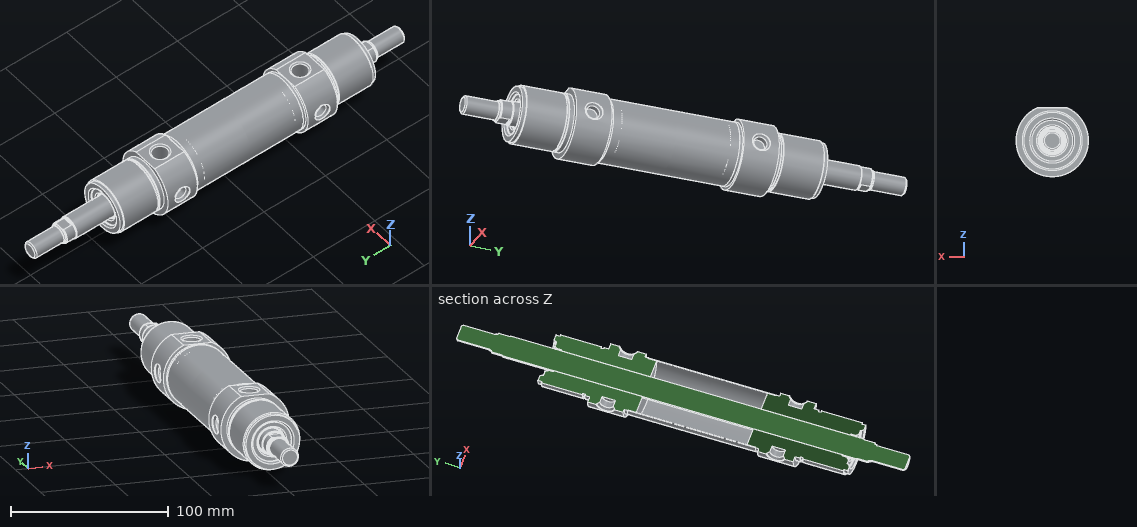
import cadquery as cq
import math

overall_length = 301.0
rod_end = overall_length / 2
cylinder_length = 208.0
stroke_offset = -12.5
cover_face = cylinder_length / 2

rod_diameter = 16.0
thread_diameter = 12.0
thread_length = 22.8
thread_chamfer = 1.0
wrench_diameter = 15.0
wrench_length = 7.6
flat_margin = 0.8
flat_distance = 13.0
neck_diameter = flat_distance
neck_length = 1.2
wrench_chamfer = 0.5
rod_chamfer = (rod_diameter - wrench_diameter) / 2

collar_diameter = 36.0
collar_length = 2.7
mount_diameter = 38.0
groove_diameter = 36.0
groove_start = 30.2
groove_width = 1.6
body_start = 35.0
body_diameter = 46.0
body_length = 24.0
flat_height = 21.0
tube_diameter = 41.6
tube_bore = 40.0
shoulder_length = 2.0
spigot_length = 6.0

recess_diameter = 26.0
recess_mouth_diameter = 28.6
recess_depth = 2.0
bore_mouth_diameter = 20.0
entry_diameter = 18.0
entry_end = 3.5
clearance_diameter = 16.85
clearance_end = 7.0

port_diameter = 11.45
port_mouth_diameter = 13.6
side_hole_diameter = 8.92
side_hole_mouth_diameter = 12.0
side_hole_depth = 6.0

shoulder_end = body_start + body_length + shoulder_length
cover_length = shoulder_end + spigot_length
port_distance = body_start + body_length / 2


def revolve_about_y(outline):
    """Solid of revolution from (radius, y) points."""
    return cq.Workplane("XY").polyline(outline).close().revolve(360, (0, 0, 0), (0, 1, 0))


def cone_mouth(mouth, hole):
    """45 degree countersink, its mouth at z = 0 and its tip towards -Z."""
    depth = (mouth - hole) / 2
    return cq.Workplane("XY").circle(mouth / 2).workplane(offset=-depth).circle(hole / 2).loft()


def make_cover():
    """End cover with its outer face at y = 0 and its spigot towards +Y."""
    mouth_depth = (recess_mouth_diameter - recess_diameter) / 2
    bore_mouth_depth = (bore_mouth_diameter - entry_diameter) / 2
    outline = [
        (clearance_diameter / 2, entry_end),
        (entry_diameter / 2, entry_end),
        (entry_diameter / 2, recess_depth + bore_mouth_depth),
        (bore_mouth_diameter / 2, recess_depth),
        (recess_diameter / 2, recess_depth),
        (recess_diameter / 2, mouth_depth),
        (recess_mouth_diameter / 2, 0),
        (collar_diameter / 2, 0),
        (collar_diameter / 2, collar_length),
        (mount_diameter / 2, collar_length),
        (mount_diameter / 2, groove_start),
        (groove_diameter / 2, groove_start),
        (groove_diameter / 2, groove_start + groove_width),
        (mount_diameter / 2, groove_start + groove_width),
        (mount_diameter / 2, body_start),
        (body_diameter / 2, body_start),
        (body_diameter / 2, body_start + body_length),
        (tube_diameter / 2, body_start + body_length),
        (tube_diameter / 2, shoulder_end),
        (tube_bore / 2, shoulder_end),
        (tube_bore / 2, cover_length),
        (rod_diameter / 2, cover_length),
        (rod_diameter / 2, clearance_end),
        (clearance_diameter / 2, clearance_end),
    ]
    cover = revolve_about_y(outline)

    flat = cq.Workplane("XY").box(body_diameter, cover_length, body_diameter, centered=(True, False, False))
    cover = cover.cut(flat.translate((0, 0, flat_height)))

    port = cq.Workplane("XY").circle(port_diameter / 2).extrude(-flat_height)
    port = port.union(cone_mouth(port_mouth_diameter, port_diameter))
    cover = cover.cut(port.translate((0, port_distance, flat_height)))

    mouth_radius = side_hole_mouth_diameter / 2
    side_start = math.sqrt((body_diameter / 2) ** 2 - mouth_radius ** 2)
    side_hole = cq.Workplane("XY").circle(side_hole_diameter / 2).extrude(-side_hole_depth)
    side_hole = side_hole.union(cone_mouth(side_hole_mouth_diameter, side_hole_diameter))
    side_hole = side_hole.union(cq.Workplane("XY").circle(mouth_radius).extrude(body_diameter / 2 - side_start))
    for side in (-1, 1):
        tool = side_hole.rotate((0, 0, 0), (0, 1, 0), 90 * side)
        cover = cover.cut(tool.translate((side * side_start, port_distance, 0)))
    return cover


def make_tube():
    """Plain tube between the shoulders of the two covers, around their spigots."""
    half_length = cover_face - shoulder_end
    outer = cq.Workplane("XZ").circle(tube_diameter / 2).circle(tube_bore / 2)
    return outer.extrude(half_length, both=True).translate((0, stroke_offset, 0))


def make_rod():
    """Rod threaded at both ends, with a pair of wrench flats behind each thread."""
    neck_end = rod_end - thread_length
    wrench_end = neck_end - neck_length
    wrench_start = wrench_end - wrench_length
    outline = [
        (0, 0),
        (rod_diameter / 2, 0),
        (rod_diameter / 2, wrench_start - rod_chamfer),
        (wrench_diameter / 2, wrench_start),
        (wrench_diameter / 2, wrench_end - wrench_chamfer),
        (wrench_diameter / 2 - wrench_chamfer, wrench_end),
        (neck_diameter / 2, wrench_end),
        (neck_diameter / 2, neck_end),
        (thread_diameter / 2, neck_end),
        (thread_diameter / 2, rod_end - thread_chamfer),
        (thread_diameter / 2 - thread_chamfer, rod_end),
        (0, rod_end),
    ]
    half = revolve_about_y(outline)
    flat_start = wrench_start + flat_margin
    for side in (-1, 1):
        block = cq.Workplane("XY").box(rod_diameter, wrench_length, rod_diameter, centered=(True, False, True))
        half = half.cut(block.translate((0, flat_start, side * (flat_distance + rod_diameter) / 2)))
    return half.union(half.mirror("XZ"))


rod = make_rod()
tube = make_tube()
covers = []
for turned in (False, True):
    cover = make_cover().translate((0, -cover_face, 0))
    if turned:
        cover = cover.mirror("XZ")
    covers.append(cover.translate((0, stroke_offset, 0)))

result = cq.Compound.makeCompound([rod.val(), tube.val(), *[cover.val() for cover in covers]])